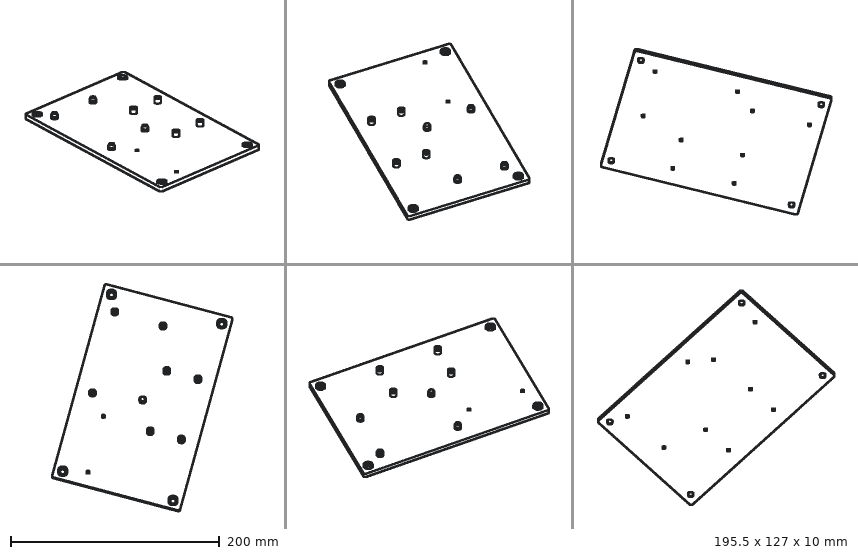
import cadquery as cq

plate_length = 195.47
plate_width = 127.02
plate_thickness = 5.0
corner_radius = 2.0

overall_height = 10.0
rise_above_plate = overall_height - plate_thickness

mount_spacing_x = 179.0
mount_spacing_y = 109.5
mount_hole_diameter = 5.31
counterbore_diameter = 9.0
counterbore_depth = plate_thickness / 2

screw_hole_diameter = 2.85

standoff_diameter = 6.5
standoff_spacing_x = 61.0
standoff_spacing_y = 31.0
standoff_centre = (0.0, 31.6)

post_base_diameter = 6.5
post_top_diameter = 4.5
post_base_height = rise_above_plate / 2
post_cone_height = rise_above_plate - post_base_height
front_left_post = (-73.45, -47.1)
drilled_post_offsets = [(0.0, 0.0), (82.0, 0.0), (1.27, 48.2)]
solid_post_offset = (76.1, 48.2)

plain_hole_spacing = 56.5
plain_hole_left = (27.6, -31.2)


def shifted(point, offset):
    """Point moved by an offset."""
    return (point[0] + offset[0], point[1] + offset[1])


def rectangle_corners(centre, spacing_x, spacing_y):
    """Corner points of a rectangle about a centre."""
    return [
        shifted(centre, (side_x * spacing_x / 2, side_y * spacing_y / 2))
        for side_x in (-1, 1)
        for side_y in (-1, 1)
    ]


def plate():
    """Rectangular plate with rounded vertical corners."""
    blank = cq.Workplane("XY").box(
        plate_length, plate_width, plate_thickness, centered=(True, True, False)
    )
    return blank.edges("|Z").fillet(corner_radius)


def cylinders(points, diameter, bottom, height):
    """Upright cylinders at the given points."""
    base = cq.Workplane("XY").workplane(offset=bottom).pushPoints(points)
    return base.circle(diameter / 2).extrude(height)


def tapered_post(point):
    """Cylindrical base with a truncated cone on top, standing on the plate."""
    base_radius = post_base_diameter / 2
    top_radius = post_top_diameter / 2
    half_profile = (
        cq.Workplane("XZ")
        .lineTo(base_radius, 0)
        .lineTo(base_radius, post_base_height)
        .lineTo(top_radius, post_base_height + post_cone_height)
        .lineTo(0, post_base_height + post_cone_height)
        .close()
    )
    post = half_profile.revolve(360, (0, 0), (0, 1))
    return post.translate((point[0], point[1], plate_thickness))


mount_points = rectangle_corners((0.0, 0.0), mount_spacing_x, mount_spacing_y)
standoff_points = rectangle_corners(standoff_centre, standoff_spacing_x, standoff_spacing_y)
drilled_post_points = [shifted(front_left_post, offset) for offset in drilled_post_offsets]
solid_post_point = shifted(front_left_post, solid_post_offset)
plain_hole_points = [plain_hole_left, shifted(plain_hole_left, (plain_hole_spacing, 0.0))]

result = plate()
result = result.union(cylinders(standoff_points, standoff_diameter, 0, overall_height))
for post_point in drilled_post_points + [solid_post_point]:
    result = result.union(tapered_post(post_point))

screw_points = standoff_points + drilled_post_points + plain_hole_points
result = result.cut(cylinders(screw_points, screw_hole_diameter, 0, overall_height))

counterbore_floor = plate_thickness - counterbore_depth
result = result.cut(cylinders(mount_points, mount_hole_diameter, 0, plate_thickness))
result = result.cut(cylinders(mount_points, counterbore_diameter, counterbore_floor, counterbore_depth))